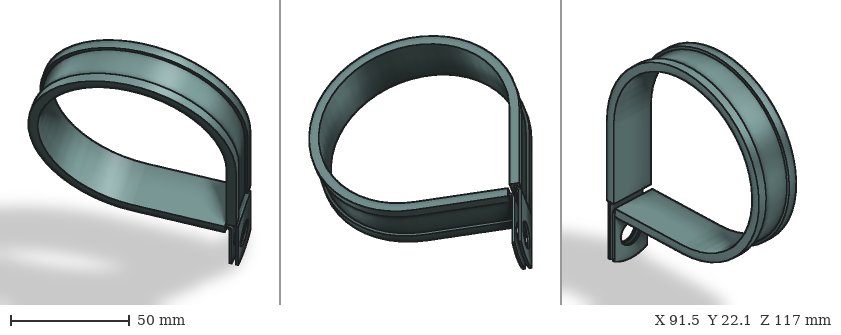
import cadquery as cq
import math


cushion_radius = 45.5
cushion_thickness = 4.2
cushion_width = 22.1
rim_width = 4.2
side_leg_end_z = -39.4
bottom_leg_end_x = 40.6

groove_depth = 1.4
band_thickness = 1.0
band_width = 19.3
bend_inner_radius = 1.0

outer_tab_face_x = 46.0
tab_pitch = 2.8
tab_end_z = -71.5
tab_end_sag = 2.3
hole_diameter = 11.7
hole_to_tab_end = 12.6
jog_start_drop = 0.2
jog_angle = math.radians(45)

cushion_inner_radius = cushion_radius - cushion_thickness
band_radius = cushion_radius - groove_depth
band_inner_radius = band_radius - band_thickness
groove_width = cushion_width - 2 * rim_width


def extrude_across(sketch, width):
    """Extrude an XZ sketch symmetrically about the Y = 0 plane."""
    return sketch.extrude(width / 2, both=True)


def loop(outer_radius, inner_radius, width):
    """Three-quarter ring with a straight leg down the +X side and one along the bottom."""
    outer_diagonal = outer_radius * math.sqrt(0.5)
    inner_diagonal = inner_radius * math.sqrt(0.5)
    sketch = (
        cq.Workplane("XZ")
        .moveTo(outer_radius, side_leg_end_z)
        .lineTo(outer_radius, 0)
        .threePointArc((-outer_diagonal, outer_diagonal), (0, -outer_radius))
        .lineTo(bottom_leg_end_x, -outer_radius)
        .lineTo(bottom_leg_end_x, -inner_radius)
        .lineTo(0, -inner_radius)
        .threePointArc((-inner_diagonal, inner_diagonal), (inner_radius, 0))
        .lineTo(inner_radius, side_leg_end_z)
        .close()
    )
    return extrude_across(sketch, width)


def grooved_cushion():
    """Cushion loop with the outside groove left open down to the band."""
    cushion = loop(cushion_radius, cushion_inner_radius, cushion_width)
    groove = loop(cushion_radius, band_radius, groove_width)
    return cushion.cut(groove)


def inner_tab():
    """Continue the bottom leg of the band and bend it down through 90 degrees."""
    bend_outer_radius = bend_inner_radius + band_thickness
    bend_x = outer_tab_face_x - tab_pitch - bend_outer_radius
    bend_z = -band_radius - bend_inner_radius
    outer_diagonal = bend_outer_radius * math.sqrt(0.5)
    inner_diagonal = bend_inner_radius * math.sqrt(0.5)
    sketch = (
        cq.Workplane("XZ")
        .moveTo(bottom_leg_end_x, -band_inner_radius)
        .lineTo(bend_x, -band_inner_radius)
        .threePointArc(
            (bend_x + outer_diagonal, bend_z + outer_diagonal),
            (bend_x + bend_outer_radius, bend_z),
        )
        .lineTo(bend_x + bend_outer_radius, tab_end_z)
        .lineTo(bend_x + bend_inner_radius, tab_end_z)
        .lineTo(bend_x + bend_inner_radius, bend_z)
        .threePointArc(
            (bend_x + inner_diagonal, bend_z + inner_diagonal),
            (bend_x, -band_radius),
        )
        .lineTo(bottom_leg_end_x, -band_radius)
        .close()
    )
    return extrude_across(sketch, band_width)


def outer_tab():
    """Continue the side leg of the band and jog it outward at constant thickness."""
    inner_face_x = outer_tab_face_x - band_thickness
    jog_drop = (outer_tab_face_x - band_radius) / math.tan(jog_angle)
    miter_drop = band_thickness * math.tan(jog_angle / 2)
    jog_start_z = side_leg_end_z - jog_start_drop
    jog_end_z = jog_start_z - jog_drop
    sketch = (
        cq.Workplane("XZ")
        .moveTo(band_inner_radius, side_leg_end_z)
        .lineTo(band_radius, side_leg_end_z)
        .lineTo(band_radius, jog_start_z)
        .lineTo(outer_tab_face_x, jog_end_z)
        .lineTo(outer_tab_face_x, tab_end_z)
        .lineTo(inner_face_x, tab_end_z)
        .lineTo(inner_face_x, jog_end_z - miter_drop)
        .lineTo(band_inner_radius, jog_start_z - miter_drop)
        .close()
    )
    return extrude_across(sketch, band_width)


def tab_outline():
    """Bar along X that trims both tabs to a rounded end and a bolt hole."""
    half_width = band_width / 2
    shoulder_z = tab_end_z + tab_end_sag
    return (
        cq.Workplane("YZ")
        .moveTo(-half_width, 0)
        .lineTo(-half_width, shoulder_z)
        .threePointArc((0, tab_end_z), (half_width, shoulder_z))
        .lineTo(half_width, 0)
        .close()
        .moveTo(0, tab_end_z + hole_to_tab_end)
        .circle(hole_diameter / 2)
        .extrude(outer_tab_face_x)
    )


tabs = inner_tab().union(outer_tab()).intersect(tab_outline())
band = loop(band_radius, band_inner_radius, band_width).union(tabs)
result = grooved_cushion().union(band)